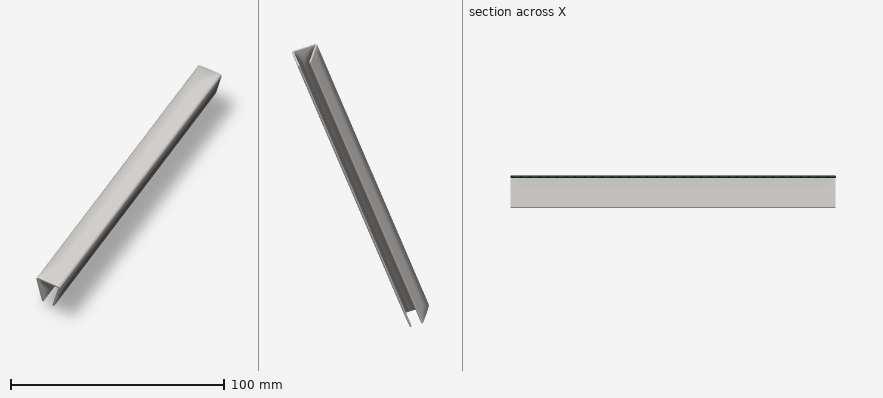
import cadquery as cq
import math

length = 152.4
width = 12.6
height = 15.2

wall = 1.0
outer_radius = 1.2
inner_radius = outer_radius - wall
leg_lean = math.radians(12.3)

bend_x = width / 2 - outer_radius
bend_z = height / 2 - outer_radius

tip_radius = wall / 2
middle_radius = outer_radius - tip_radius
tip_center_z = -height / 2 + tip_radius
leg_length = (bend_z - middle_radius * math.sin(leg_lean) - tip_center_z) / math.cos(leg_lean)

bend_top = math.pi / 2
bend_bottom = -leg_lean
bend_middle = (bend_top + bend_bottom) / 2


def on_bend(radius, angle):
    """Point at this radius and angle around the centre of the right-hand bend."""
    return (bend_x + radius * math.cos(angle), bend_z + radius * math.sin(angle))


def on_leg(radius, distance):
    """Point this far down the leg from where the bend of this radius ends."""
    start_x, start_z = on_bend(radius, bend_bottom)
    return (
        start_x - distance * math.sin(leg_lean),
        start_z - distance * math.cos(leg_lean),
    )


def half_channel():
    """Right half of the folded sheet, from the centre plane to the leg tip."""
    return (
        cq.Workplane("XZ", origin=(0, length / 2, 0))
        .moveTo(0, height / 2)
        .lineTo(*on_bend(outer_radius, bend_top))
        .threePointArc(on_bend(outer_radius, bend_middle), on_bend(outer_radius, bend_bottom))
        .lineTo(*on_leg(outer_radius, leg_length))
        .threePointArc(
            on_leg(middle_radius, leg_length + tip_radius),
            on_leg(inner_radius, leg_length),
        )
        .lineTo(*on_bend(inner_radius, bend_bottom))
        .threePointArc(on_bend(inner_radius, bend_middle), on_bend(inner_radius, bend_top))
        .lineTo(0, height / 2 - wall)
        .close()
        .extrude(length)
    )


right_half = half_channel()
result = right_half.union(right_half.mirror("YZ")).clean()